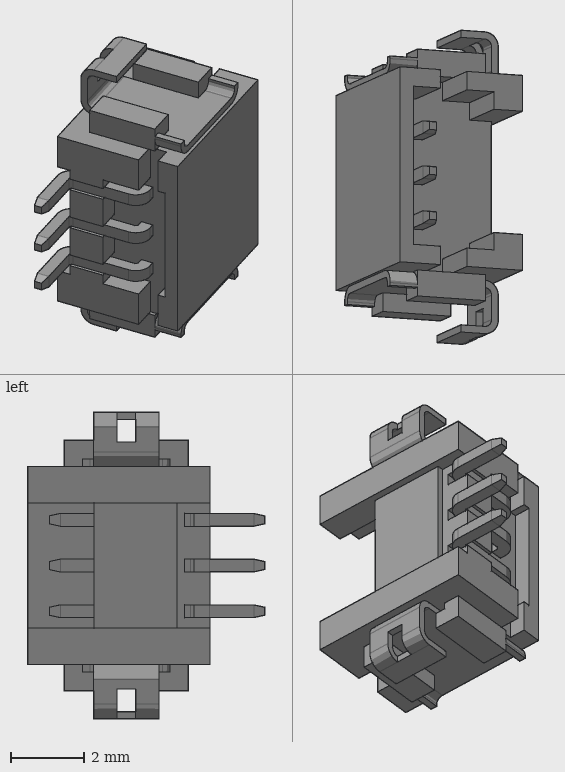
import cadquery as cq


housing_width = 3.6
housing_depth = 5.0
housing_half_height = 2.71
inner_half_height = 1.71

cavity_floor_y = 3.175
cavity_end_x = 3.21
wide_cavity_start_x = 0.84
wide_cavity_half_height = 2.2
key_slot_start_x = 1.64
key_slot_end_x = 2.42

front_block_end_x = 2.5
rear_wall_start_x = 3.0
rear_wall_setback = 0.2
recess_floor_y = 0.7
center_recess_start_x = 1.4
center_face_x = 0.2
pin_bay_x = 0.39
pin_bay_depth = 0.9

pin_size = 0.35
pin_pitch = 1.25
pin_count = 3
pin_tail_length = 1.5
pin_back_y = 4.4
pin_end_x = 2.58
pin_run_y = 0.09
pin_bend_radius = 0.08
pin_taper_length = 0.3
pin_tip_size = 0.22

sheet = 0.2
bend_radius = 0.2
clip_top_z = 4.2
clip_center_y = 2.29
tab_width = 1.8
tab_end_x = 1.1
tab_window_width = 0.5
tab_window_start_z = 3.385
tab_window_depth = sheet + bend_radius
plate_width = 2.39
plate_start_x = 1.01
plate_end_x = 3.5
plate_corner_radius = 0.2
wing_top_z = 3.19

ear_start_x = 0.69
ear_end_x = 2.7
ear_span = 3.4
ear_width = 0.81
ear_top_z = 3.435


def box(x_range, y_range, z_range):
    """Axis-aligned block from the limits along each axis."""
    lows, highs = zip(x_range, y_range, z_range)
    sizes = [high - low for low, high in zip(lows, highs)]
    return cq.Workplane("XY").box(*sizes, centered=False).translate(lows)


def centered(width, middle=0.0):
    """Limits of a span of the given width about its middle."""
    return (middle - width / 2, middle + width / 2)


pin_heights = [(i - (pin_count - 1) / 2) * pin_pitch for i in range(pin_count)]


def make_housing():
    full_height = centered(2 * housing_half_height)
    inner_height = centered(2 * inner_half_height)
    wide_height = centered(2 * wide_cavity_half_height)
    to_back = (cavity_floor_y, housing_depth)
    to_recess = (0, recess_floor_y)

    cuts = [
        box((0, cavity_end_x), to_back, inner_height),
        box((wide_cavity_start_x, cavity_end_x), to_back, wide_height),
        box((key_slot_start_x, key_slot_end_x), to_back, full_height),
        box((front_block_end_x, rear_wall_start_x), to_recess, full_height),
        box((center_recess_start_x, cavity_end_x), to_recess, inner_height),
        box((rear_wall_start_x, housing_width), (0, rear_wall_setback), full_height),
        box((0, center_face_x), (0, cavity_floor_y), inner_height),
        box((0, pin_bay_x), (0, pin_bay_depth), inner_height),
    ]
    for z in pin_heights:
        cuts.append(box((pin_bay_x, center_recess_start_x), to_recess, centered(pin_size, z)))

    housing = box((0, housing_width), (0, housing_depth), full_height)
    for cut in cuts:
        housing = housing.cut(cut)
    return housing


def pin_tip(x_middle, y_base, direction):
    """Tapered end of a pin, narrowing along Y in the given direction (+1 or -1)."""
    plane = cq.Plane(origin=(x_middle, y_base, 0), xDir=(1, 0, 0), normal=(0, direction, 0))
    return (
        cq.Workplane(plane).rect(pin_size, pin_size)
        .workplane(offset=pin_taper_length).rect(pin_tip_size, pin_tip_size)
        .loft(ruled=True)
    )


def round_corner(solid, x, y, radius):
    """Fillet the Z-parallel edge nearest to the given X, Y place."""
    edge = cq.selectors.NearestToPointSelector((x, y, 0))
    return solid.edges("|Z").edges(edge).fillet(radius)


def make_pin():
    """Pin with a tail at X = 0, a crosswise run and a mating leg into the cavity."""
    tail_base_y = pin_taper_length - pin_tail_length
    leg_base_y = pin_back_y - pin_taper_length
    run_back_y = pin_run_y + pin_size
    leg_start_x = pin_end_x - pin_size
    outer_radius = pin_bend_radius + pin_size

    tail = box((0, pin_size), (tail_base_y, run_back_y), centered(pin_size))
    run = box((0, pin_end_x), (pin_run_y, run_back_y), centered(pin_size))
    leg = box((leg_start_x, pin_end_x), (pin_run_y, leg_base_y), centered(pin_size))
    bent = tail.union(run).union(leg)

    bent = round_corner(bent, 0, run_back_y, outer_radius)
    bent = round_corner(bent, pin_size, pin_run_y, pin_bend_radius)
    bent = round_corner(bent, pin_end_x, pin_run_y, outer_radius)
    bent = round_corner(bent, leg_start_x, run_back_y, pin_bend_radius)

    tail_tip = pin_tip(pin_size / 2, tail_base_y, -1)
    leg_tip = pin_tip(pin_end_x - pin_size / 2, leg_base_y, 1)
    return bent.union(tail_tip).union(leg_tip)


def make_clip():
    """Upper clip: C-shaped solder tab, base plate and upturned side wings."""
    base_z = housing_half_height
    outer_radius = bend_radius + sheet

    tab = (
        box((0, plate_start_x + outer_radius), centered(tab_width, clip_center_y), (base_z, clip_top_z))
        .edges("|Y and <X").fillet(outer_radius)
    )
    tab_inside = (
        box((sheet, housing_width), centered(tab_width, clip_center_y), (base_z + sheet, clip_top_z - sheet))
        .edges("|Y and <X").fillet(bend_radius)
    )
    above_plate = box((tab_end_x, housing_width), centered(tab_width, clip_center_y),
                      (base_z + sheet, clip_top_z))
    window = box((0, tab_window_depth), centered(tab_window_width, clip_center_y),
                 (tab_window_start_z, clip_top_z))
    tab = tab.cut(tab_inside).cut(above_plate).cut(window)

    plate = (
        box((plate_start_x, plate_end_x), centered(plate_width, clip_center_y), (base_z, base_z + sheet))
        .edges("|Z and <X").fillet(plate_corner_radius)
    )

    wing_x = (ear_end_x, plate_end_x)
    channel = (
        box(wing_x, centered(ear_span, clip_center_y), (base_z, wing_top_z))
        .edges("|X and <Z").fillet(outer_radius)
    )
    channel_inside = (
        box(wing_x, centered(ear_span - 2 * sheet, clip_center_y), (base_z + sheet, clip_top_z))
        .edges("|X and <Z").fillet(bend_radius)
    )
    return tab.union(plate).union(channel.cut(channel_inside))


def make_ears():
    """Pair of ears on the top face, undercut where the clip plate slides in."""
    ear_x = (ear_start_x, ear_end_x)
    height = (housing_half_height, ear_top_z)
    pair = box(ear_x, centered(ear_span, clip_center_y), height)
    gap = box(ear_x, centered(ear_span - 2 * ear_width, clip_center_y), height)
    undercut = box(ear_x, centered(plate_width, clip_center_y),
                   (housing_half_height, housing_half_height + sheet))
    return pair.cut(gap).cut(undercut)


result = make_housing()

end_fittings = make_ears().union(make_clip())
result = result.union(end_fittings).union(end_fittings.mirror("XY"))

pin = make_pin()
for pin_z in pin_heights:
    result = result.union(pin.translate((0, 0, pin_z)))